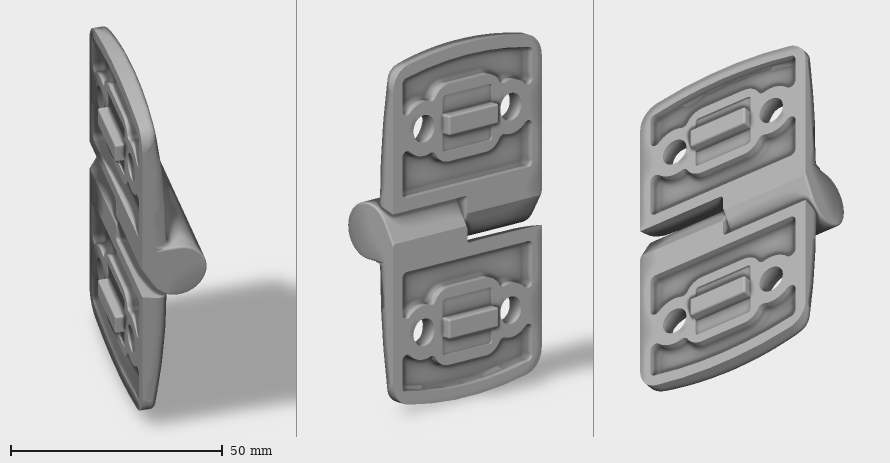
import cadquery as cq
import math

half_width = 24.0
half_length = 43.5
end_radius = 101.8
corner_radius = 6.0
plate_base = 4.35

dome_height = 7.9
dome_crest_z = 7.0
dome_long_radius = 191.4
dome_cross_radius = 187.9
dome_side_radius = 3.7
dome_end_fillet = 1.5

knuckle_radius = 7.0
knuckle_y = 8.9
knuckle_toe_z = 1.5
knuckle_end_fillet = 0.5
knuckle_root_fillet = 1.0

clearance_z = 5.9
clearance_angle = 15.0
clearance_fillet = 1.0

hole_x = 14.0
hole_z = 25.0
hole_diameter = 6.8
counterbore_diameter = 12.0
counterbore_floor_y = 4.0

pocket_wall = 3.0
pocket_depth = 3.0
pocket_corner = 1.5
pocket_floor_fillet = 1.0
pocket_inner_z = 9.05
screw_boss_radius = 6.6
island_half_height = 9.5
island_corner = 5.0
island_corner_x = 6.0

insert_half_width = 8.0
insert_half_height = 7.0
insert_corner = 0.9
insert_depth = 3.0
insert_recess = 0.5
rib_half_height = 2.4
rib_height = 2.35
rib_fillet = 0.5


def point_toward(start, end, distance):
    """Point at a distance from start on the line toward end."""
    ratio = distance / math.dist(start, end)
    return (start[0] + ratio * (end[0] - start[0]), start[1] + ratio * (end[1] - start[1]))


def arc_middle(center, start, end):
    """Middle of the shorter arc around center from start to end."""
    chord_middle = ((start[0] + end[0]) / 2, (start[1] + end[1]) / 2)
    return point_toward(center, chord_middle, math.dist(center, start))


def outer_tangent_center(first, first_distance, second, second_distance):
    """Point above the line from first to second at the given distances from both."""
    span = math.dist(first, second)
    along = (first_distance**2 - second_distance**2 + span**2) / (2 * span)
    across = math.sqrt(first_distance**2 - along**2)
    ux = (second[0] - first[0]) / span
    uy = (second[1] - first[1]) / span
    return (first[0] + along * ux - across * uy, first[1] + along * uy + across * ux)


def mirrored(point):
    """Point reflected to the other side of the middle of the leaf."""
    return (-point[0], point[1])


def nearest(x, y, z):
    return cq.selectors.NearestToPointSelector((x, y, z))


def front_sketch(y=0):
    """Workplane at height y whose local axes are X and Z and whose normal is -Y."""
    return cq.Workplane("XZ", origin=(0, y, 0))


def end_arc_z(x, inset=0.0):
    """Z of the leaf end arc, moved inward by inset."""
    radius = end_radius - inset
    return half_length - end_radius + math.sqrt(radius**2 - x**2)


def make_plate():
    """Domed leaf plate with a rounded end."""
    corner_z = end_arc_z(half_width)
    blank = (
        front_sketch()
        .moveTo(-half_width, plate_base)
        .lineTo(half_width, plate_base)
        .lineTo(half_width, corner_z)
        .threePointArc((0, half_length), (-half_width, corner_z))
        .close()
        .extrude(-2 * dome_height)
        .edges("|Y")
        .edges(">Z")
        .fillet(corner_radius)
    )
    domed = blank.intersect(make_dome())
    return domed.edges(nearest(0, dome_height, half_length)).fillet(dome_end_fillet)


def make_dome():
    """Cross profile of the leaf swung about an axis parallel to X, far out on the -Y side."""
    crown_center = (0, dome_height - dome_cross_radius)
    side_x = half_width - dome_side_radius
    side_y = crown_center[1] + math.sqrt((dome_cross_radius - dome_side_radius) ** 2 - side_x**2)
    side_center = (side_x, side_y)
    shoulder = point_toward(crown_center, side_center, dome_cross_radius)
    side_top = (half_width, side_y)
    side_middle = arc_middle(side_center, side_top, shoulder)
    base_y = -dome_height
    swing = 30.0
    profile = (
        cq.Workplane("XY", origin=(0, 0, dome_crest_z))
        .moveTo(-half_width, base_y)
        .lineTo(half_width, base_y)
        .lineTo(*side_top)
        .threePointArc(side_middle, shoulder)
        .threePointArc((0, dome_height), mirrored(shoulder))
        .threePointArc(mirrored(side_middle), mirrored(side_top))
        .close()
    )
    axis_y = dome_height - dome_long_radius
    dome = profile.revolve(swing, (0, axis_y, 0), (1, axis_y, 0))
    return dome.rotate((0, axis_y, dome_crest_z), (1, axis_y, dome_crest_z), -swing / 2)


def make_knuckle():
    """Barrel with a tangent flat down to the mounting face, on the +X half."""
    axis = (knuckle_y, 0)
    toe = (0, knuckle_toe_z)
    toe_direction = math.atan2(toe[1] - axis[1], toe[0] - axis[0])
    tangent_direction = toe_direction + math.acos(knuckle_radius / math.dist(axis, toe))
    tangent = (
        axis[0] + knuckle_radius * math.cos(tangent_direction),
        axis[1] + knuckle_radius * math.sin(tangent_direction),
    )
    return (
        cq.Workplane("YZ")
        .moveTo(0, knuckle_radius)
        .lineTo(*toe)
        .lineTo(*tangent)
        .threePointArc((knuckle_y + knuckle_radius, 0), (knuckle_y, knuckle_radius))
        .close()
        .extrude(half_width)
        .edges("%CIRCLE")
        .fillet(knuckle_end_fillet)
    )


def make_clearance():
    """Wedge on the -X half that clears the other leaf's knuckle, rounded in its inner corner."""
    reach = 2 * dome_height
    slope = math.tan(math.radians(clearance_angle))
    return (
        cq.Workplane("YZ")
        .moveTo(-reach, clearance_z - slope * reach)
        .lineTo(reach, clearance_z + slope * reach)
        .lineTo(reach, -reach)
        .lineTo(-reach, -reach)
        .close()
        .extrude(-2 * half_width)
        .faces(">X")
        .edges(">Z")
        .fillet(clearance_fillet)
    )


def make_root():
    """Leaf stub at the knuckle flanked by the concave fillet where the dome meets the barrel."""
    height = 2 * dome_height
    block = cq.Workplane("XY").box(4 * half_width, 2 * height, plate_base, centered=(True, True, False))
    block = block.translate((0, 0, knuckle_radius - plate_base))
    stub = block.union(make_plate())
    filleted = stub.edges(nearest(0, dome_height, knuckle_radius)).fillet(knuckle_root_fillet)
    keep = cq.Workplane("XY").box(half_width, height, knuckle_root_fillet, centered=False)
    return filleted.intersect(keep.translate((0, 0, knuckle_radius)))


def make_pocket_bank():
    """Block above the hole row whose lower edge skirts the screw bosses and the insert island."""
    side = half_width - pocket_wall
    boss = (hole_x, 0)
    island = (island_corner_x, island_half_height - island_corner)
    tip_x = side - pocket_corner
    boss_reach = screw_boss_radius + pocket_corner
    tip = (tip_x, math.sqrt(boss_reach**2 - (tip_x - hole_x) ** 2))
    tip_side = (side, tip[1])
    tip_boss = point_toward(boss, tip, screw_boss_radius)
    notch = mirrored(
        outer_tangent_center(mirrored(boss), boss_reach, mirrored(island), island_corner + pocket_corner)
    )
    notch_boss = point_toward(boss, notch, screw_boss_radius)
    notch_island = point_toward(island, notch, island_corner)
    island_top = (island_corner_x, island_half_height)
    arcs = [
        (tip, tip_side, tip_boss),
        (boss, tip_boss, notch_boss),
        (notch, notch_boss, notch_island),
        (island, notch_island, island_top),
    ]
    outline = front_sketch().moveTo(side, half_length).lineTo(*tip_side)
    for center, start, end in arcs:
        outline = outline.threePointArc(arc_middle(center, start, end), end)
    outline = outline.lineTo(*mirrored(island_top))
    for center, start, end in reversed(arcs):
        outline = outline.threePointArc(mirrored(arc_middle(center, start, end)), mirrored(start))
    return outline.lineTo(-side, half_length).close().extrude(-pocket_depth)


def make_pocket_field():
    """Area inside the rim, from the knuckle side to the leaf end."""
    side = half_width - pocket_wall
    corner_z = end_arc_z(side, pocket_wall)
    return (
        front_sketch()
        .moveTo(-side, pocket_inner_z)
        .lineTo(side, pocket_inner_z)
        .lineTo(side, corner_z)
        .threePointArc((0, half_length - pocket_wall), (-side, corner_z))
        .close()
        .extrude(-pocket_depth)
        .edges("|Y")
        .fillet(pocket_corner)
    )


def make_pockets():
    """The pockets on both sides of the hole row, with rounded floors."""
    field = make_pocket_field()
    bank = make_pocket_bank()
    pockets = []
    for half in (bank, bank.mirror("XY")):
        pocket = field.intersect(half.translate((0, 0, hole_z)))
        pockets.append(pocket.faces(">Y").edges().fillet(pocket_floor_fillet))
    return pockets


def make_screw_hole(x):
    """Through hole with a counterbore opening to the back."""
    bore = front_sketch().center(x, hole_z).circle(hole_diameter / 2).extrude(-dome_height)
    counterbore = (
        front_sketch(counterbore_floor_y)
        .center(x, hole_z)
        .circle(counterbore_diameter / 2)
        .extrude(-dome_height)
    )
    return bore.union(counterbore)


def make_insert_block(recess):
    """Rounded plate that fills the insert pocket up to the given recess below the mounting face."""
    return (
        front_sketch(recess)
        .center(0, hole_z)
        .rect(2 * insert_half_width, 2 * insert_half_height)
        .extrude(recess - insert_depth)
        .edges("|Y")
        .fillet(insert_corner)
    )


def make_leaf():
    """Leaf with its knuckle on the +X half, reaching up to +Z."""
    leaf = make_plate().union(make_knuckle()).union(make_root()).cut(make_clearance())
    for pocket in make_pockets():
        leaf = leaf.cut(pocket)
    for x in (-hole_x, hole_x):
        leaf = leaf.cut(make_screw_hole(x))
    return leaf.cut(make_insert_block(0))


def make_insert():
    """Plate with a key rib standing out of the mounting face."""
    rib = (
        front_sketch(insert_recess)
        .center(0, hole_z)
        .rect(2 * insert_half_width, 2 * rib_half_height)
        .extrude(insert_recess + rib_height)
        .edges("|Y or <Y")
        .fillet(rib_fillet)
    )
    return make_insert_block(insert_recess).union(rib)


leaf = make_leaf()
insert = make_insert()
bodies = []
for turn in (0, 180):
    for body in (leaf, insert):
        bodies.append(body.rotate((0, 0, 0), (0, 1, 0), turn).val())

result = cq.Compound.makeCompound(bodies)